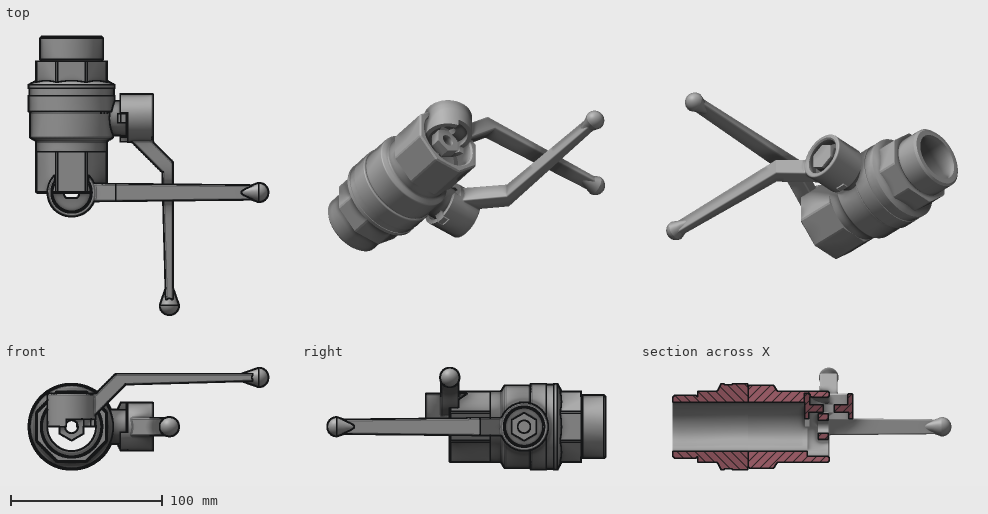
import cadquery as cq
import math


flow_bore_d = 32.0
thread_minor_d = 38.95
thread_major_d = 41.91
inlet_thread_depth = 14.5
inlet_lead_in = 1.0

octagon_width = 47.0
octagon_corner_d = 50.3
octagon_end_chamfer = 1.0

inlet_face = -0.5
inlet_octagon_end = 26.7
shoulder_start = 33.8
shoulder_round = 1.2
shoulder_end = 36.2
joint_y = 53.1
joint_round = 1.0
stem_y = 49.0
housing_d = 55.0

collar_d = 57.0
collar_groove_d = 56.0
collar_groove_start = 63.7
collar_groove_end = 68.7
collar_rim_end = 71.0
collar_cone_end = 73.7
outlet_octagon_end = 86.7
thread_relief = 1.0
outlet_chamfer = 1.4
outlet_end = 103.0

hub_d = 32.0
hub_height = 22.0
hub_cavity_d = 26.0
hub_recess_d = 25.0
hub_rim_round = 1.0
recess_rim_chamfer = 1.0
skirt_cut_height = 5.0
skirt_cut_offset = 3.5
floor_bottom = 9.5
floor_top = 14.5
arm_start = 14.0
arm_end = 119.6
arm_top = 35.0
arm_drop_under_hub_side = 14.0
arm_bend_bottom = 27.7
arm_tip_bottom = 30.0
arm_root_width = 12.0
arm_tip_width = 9.8
arm_edge_round = 1.0
arm_root_round = 1.0
knob_d = 13.0
knob_x = 123.45
knob_cone_length = 11.5
knob_cone_small_r = 2.5
knob_z = arm_top - knob_cone_small_r

handle_base_x = 32.0
neck_d = 23.0
neck_start = 20.0
spigot_d = 20.0
stem_d = 10.2
stem_flats = 7.0
stop_width = 6.0
stop_start = 30.3
stop_slope_run = 2.2
stop_gap = 0.9

nut_width = 16.0
nut_hole_d = 8.38
nut_thickness = 7.0


def octagon_bar(y_start, y_end, chamfered=False):
    """Octagonal bar along Y with two flats facing +Z and -Z and turned corners."""
    length = y_end - y_start
    corner_to_corner = octagon_width / math.cos(math.pi / 8)
    plane = cq.Workplane("XZ", origin=(0, y_end, 0))
    bar = plane.transformed(rotate=(0, 0, 180 / 8)).polygon(8, corner_to_corner).extrude(length)
    if chamfered:
        bar = bar.faces("<Y").chamfer(octagon_end_chamfer)
    return bar.intersect(plane.circle(octagon_corner_d / 2).extrude(length))


def turned(points):
    """Solid of revolution about Y from (radius, y) points."""
    return cq.Workplane("XY").polyline(points).close().revolve(360, (0, 0, 0), (0, 1, 0))


def round_rings(body, rings, radius):
    """Round the circular edges of a turned body at the given (radius, y) points."""
    selected = []
    for ring_r, ring_y in rings:
        for edge in body.edges("%CIRCLE").vals():
            if math.isclose(edge.radius(), ring_r) and math.isclose(edge.Center().y, ring_y):
                selected.append(edge)
    return body.newObject(selected).fillet(radius)


def cylinder_x(diameter, x_start, x_end):
    """Cylinder on the stem axis."""
    return cq.Workplane("YZ", origin=(x_start, stem_y, 0)).circle(diameter / 2).extrude(x_end - x_start)


def double_d(height):
    """Round bar along Z with two flats facing +Y and -Y."""
    flats = cq.Workplane("XY").rect(stem_d, stem_flats).extrude(height)
    return cq.Workplane("XY").circle(stem_d / 2).extrude(height).intersect(flats)


def on_stem(shape):
    """Carry a shape from the handle frame to the valve stem."""
    seat = cq.Plane(origin=(handle_base_x, stem_y, 0), xDir=(0, -1, 0), normal=(1, 0, 0))
    return cq.Workplane("XY").newObject([shape.val().moved(cq.Location(seat))])


def make_arm():
    """Cranked arm, tapering in height and width towards the knob."""
    hub_r = hub_d / 2
    top_bend_x = hub_r + arm_top - hub_height
    root_bottom = hub_height - arm_drop_under_hub_side
    bottom_bend_x = hub_r + arm_bend_bottom - root_bottom
    root_step = hub_r - arm_start
    side = (
        cq.Workplane("XZ")
        .polyline([
            (arm_start, hub_height - root_step),
            (top_bend_x, arm_top),
            (arm_end, arm_top),
            (arm_end, arm_tip_bottom),
            (bottom_bend_x, arm_bend_bottom),
            (arm_start, root_bottom - root_step),
        ])
        .close()
        .extrude(arm_root_width, both=True)
    )
    plan = (
        cq.Workplane("XY")
        .polyline([
            (arm_start, arm_root_width / 2),
            (arm_end, arm_tip_width / 2),
            (arm_end, -arm_tip_width / 2),
            (arm_start, -arm_root_width / 2),
        ])
        .close()
        .extrude(arm_top)
    )
    return side.intersect(plan).edges("not(|Y or |Z)").fillet(arm_edge_round)


def make_knob():
    """Ball with a cone leading into the arm."""
    knob_r = knob_d / 2
    cone_start = knob_x - knob_cone_length
    return (
        cq.Workplane("XZ")
        .moveTo(cone_start, knob_z)
        .lineTo(cone_start, knob_z + knob_cone_small_r)
        .lineTo(knob_x, knob_z + knob_r)
        .radiusArc((knob_x + knob_r, knob_z), knob_r)
        .close()
        .revolve(360, (0, knob_z, 0), (1, knob_z, 0))
    )


def make_handle():
    hub = cq.Workplane("XY").circle(hub_d / 2).extrude(hub_height).faces(">Z").edges().fillet(hub_rim_round)
    hub = hub.rotate((0, 0, 0), (0, 0, 1), 180)
    handle = hub.union(make_arm())
    half_arm = arm_root_width / 2
    root = cq.selectors.BoxSelector(
        (arm_start, -half_arm, skirt_cut_height),
        (hub_d / 2 + arm_root_round, half_arm, hub_height - hub_rim_round - arm_root_round),
    )
    handle = handle.edges(root).fillet(arm_root_round)
    handle = handle.union(make_knob())

    cavity = cq.Workplane("XY").circle(hub_cavity_d / 2).extrude(floor_bottom)
    recess = cq.Workplane("XY", origin=(0, 0, floor_top)).circle(hub_recess_d / 2).extrude(hub_height)
    handle = handle.cut(cavity).cut(recess).cut(double_d(hub_height))
    recess_r = hub_recess_d / 2
    rim = cq.Solid.makeCone(
        recess_r,
        recess_r + recess_rim_chamfer,
        recess_rim_chamfer,
        cq.Vector(0, 0, hub_height - recess_rim_chamfer),
    )
    handle = handle.cut(rim)

    quarter = (
        cq.Workplane("XY")
        .rect(hub_d, hub_d)
        .extrude(skirt_cut_height)
        .translate((hub_d / 2 - skirt_cut_offset, skirt_cut_offset - hub_d / 2, 0))
    )
    slot = (
        cq.Workplane("XY")
        .rect(2 * skirt_cut_offset, hub_d)
        .extrude(skirt_cut_height)
        .translate((0, hub_d / 2, 0))
    )
    return handle.cut(quarter).cut(slot)


def make_nut(plane):
    """Hex nut growing from a plane, with two corners on the plane's own y axis."""
    corner_to_corner = nut_width / math.cos(math.pi / 6)
    hexagon = cq.Workplane(plane).transformed(rotate=(0, 0, 180 / 6)).polygon(6, corner_to_corner)
    hole = cq.Workplane(plane).circle(nut_hole_d / 2).extrude(nut_thickness)
    return hexagon.extrude(nut_thickness).cut(hole)


def make_neck():
    """Stem neck with its two stops, the flatted stem and the threaded stem end."""
    floor_x = handle_base_x + floor_bottom
    seat_x = handle_base_x + floor_top
    stop_end = handle_base_x + skirt_cut_height - stop_gap
    neck = cylinder_x(neck_d, neck_start, stop_end)
    neck = neck.union(cylinder_x(spigot_d, stop_end, floor_x))

    stop_tip = hub_d / 2
    for side in (1, -1):
        stop = (
            cq.Workplane("XZ", origin=(0, stem_y, 0))
            .polyline([
                (stop_start, 0),
                (stop_start, side * neck_d / 2),
                (stop_start + stop_slope_run, side * stop_tip),
                (stop_end, side * stop_tip),
                (stop_end, 0),
            ])
            .close()
            .extrude(stop_width / 2, both=True)
        )
        neck = neck.union(stop)

    flatted_stem = on_stem(double_d(floor_top))
    threaded_end = cylinder_x(nut_hole_d, seat_x, seat_x + nut_thickness)
    return neck.union(flatted_stem).union(threaded_end)


def make_housing():
    bore_r = flow_bore_d / 2
    body = turned([
        (0, inlet_octagon_end),
        (octagon_width / 2, inlet_octagon_end),
        (octagon_width / 2, shoulder_start),
        (housing_d / 2, shoulder_end),
        (housing_d / 2, joint_y),
        (0, joint_y),
    ])
    shoulder_rings = [(octagon_width / 2, shoulder_start), (housing_d / 2, shoulder_end)]
    body = round_rings(body, shoulder_rings, shoulder_round)
    body = round_rings(body, [(housing_d / 2, joint_y)], joint_round)
    body = body.union(octagon_bar(inlet_face, inlet_octagon_end, chamfered=True)).union(make_neck())
    thread_r = thread_minor_d / 2
    step_y = inlet_face + inlet_thread_depth
    return body.cut(turned([
        (0, inlet_face),
        (thread_r + inlet_lead_in, inlet_face),
        (thread_r, inlet_face + inlet_lead_in),
        (thread_r, step_y),
        (bore_r, step_y),
        (bore_r, joint_y),
        (0, joint_y),
    ]))


def make_end_connection():
    bore_r = flow_bore_d / 2
    collar_r = collar_d / 2
    thread_r = thread_major_d / 2
    turned_body = turned([
        (bore_r, joint_y),
        (collar_r, joint_y),
        (collar_r, collar_groove_start),
        (collar_groove_d / 2, collar_groove_start),
        (collar_groove_d / 2, collar_groove_end),
        (collar_r, collar_groove_end),
        (collar_r, collar_rim_end),
        (octagon_width / 2, collar_cone_end),
        (thread_r - thread_relief, collar_cone_end),
        (thread_r - thread_relief, outlet_octagon_end),
        (thread_r, outlet_octagon_end + thread_relief),
        (thread_r, outlet_end - outlet_chamfer),
        (thread_r - outlet_chamfer, outlet_end),
        (bore_r, outlet_end),
    ])
    turned_body = round_rings(turned_body, [(collar_r, joint_y)], joint_round)
    octagon = octagon_bar(collar_rim_end, outlet_octagon_end)
    octagon = octagon.cut(cq.Workplane("XZ", origin=(0, outlet_end, 0)).circle(bore_r).extrude(outlet_end))
    return turned_body.union(octagon).cut(cylinder_x(neck_d, neck_start, collar_d))


loose_handle = make_handle()
fitted_handle = on_stem(make_handle())
loose_nut = make_nut(cq.Plane(origin=(0, nut_thickness, 0), xDir=(1, 0, 0), normal=(0, -1, 0)))
fitted_nut = on_stem(make_nut(cq.Plane.XY()).translate((0, 0, floor_top)))
housing = make_housing().cut(loose_handle)
end_connection = make_end_connection()

result = cq.Compound.makeCompound([
    housing.val(),
    end_connection.val(),
    loose_handle.val(),
    fitted_handle.val(),
    loose_nut.val(),
    fitted_nut.val(),
])